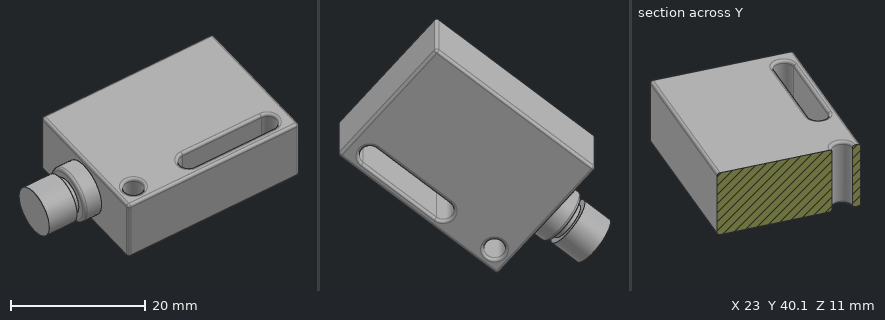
import cadquery as cq

width = 23.0
height = 11.0
total_length = 40.1
edge_radius = 0.5

collar_diameter = 9.0
collar_length = 3.1
neck_diameter = 6.0
neck_length = 1.0
plug_diameter = 8.0
plug_length = 5.0
housing_length = total_length - collar_length - neck_length - plug_length

hole_diameter = 3.2
hole_inset = 3.0
hole_x = width / 2 - hole_inset
slot_rear_inset = 3.8
slot_pitch = 14.2
slot_y = housing_length - slot_rear_inset - slot_pitch / 2


def make_housing():
    block = cq.Workplane("XY").box(width, housing_length, height)
    return block.edges().fillet(edge_radius).translate((0, housing_length / 2, 0))


def cut_mounting_openings(body):
    """Cut the hole and the slot, then round their rims on both large faces."""
    hole = (
        cq.Workplane("XY")
        .center(hole_x, hole_inset)
        .circle(hole_diameter / 2)
        .extrude(height / 2, both=True)
    )
    slot = (
        cq.Workplane("XY")
        .center(hole_x, slot_y)
        .slot2D(slot_pitch + hole_diameter, hole_diameter, 90)
        .extrude(height / 2, both=True)
    )
    body = body.cut(hole).cut(slot)
    for face_selector in (">Z", "<Z"):
        rims = [
            edge
            for wire in body.faces(face_selector).val().innerWires()
            for edge in wire.Edges()
        ]
        body = body.newObject(rims).fillet(edge_radius)
    return body


def cylinder_along_y(diameter, start, length):
    """Cylinder on the connector axis running from Y = start towards -Y."""
    return cq.Workplane("XZ", origin=(0, start, 0)).circle(diameter / 2).extrude(length)


def make_connector():
    """Collar with a rounded outer rim, narrow neck and plain plug."""
    collar = cylinder_along_y(collar_diameter, 0, collar_length)
    collar = collar.faces("<Y").edges().fillet(edge_radius)
    neck = cylinder_along_y(neck_diameter, -collar_length, neck_length)
    plug = cylinder_along_y(plug_diameter, -collar_length - neck_length, plug_length)
    return collar.union(neck).union(plug)


housing = cut_mounting_openings(make_housing())
result = housing.union(make_connector())